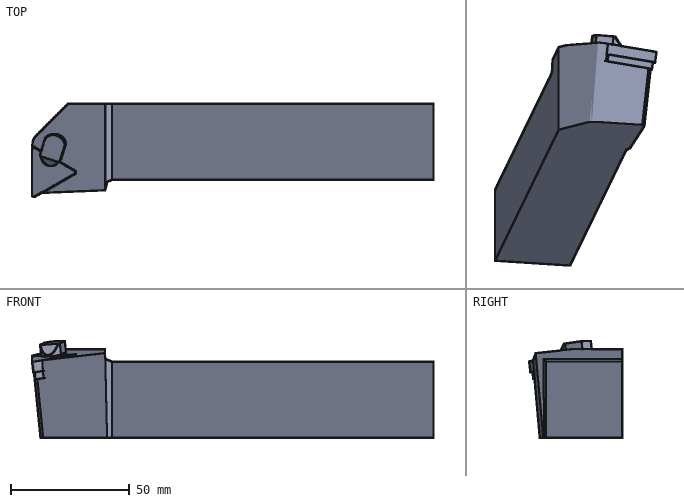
import cadquery as cq
import math

total_length = 170.0
shank_side = 32.3
shank_start = 33.8

flare_length = 2.9
flare_growth = 1.2

head_height = 37.5
back_chamfer = 15.3
lean = 0.1
left_base = 3.5
front_lean = 0.09
front_base = 35.0
front_skew = 1.5
rear_base = 31.8
rear_shift = 0.8
nose_chamfer = 1.2
back_corner_radius = 5.5

rake_break = 9.7
rake_slope = 0.11

insert_side = 22.1
insert_middle = -29.0
insert_thickness = 4.6
insert_nose_radius = 0.8
shim_thickness = 3.0
shim_inset = 0.5
pocket_clearance = 0.2

clamp_width = 8.8
clamp_height = 4.8
clamp_centre = (9.5, -17.8)
clamp_angle = 18.0
clamp_back = 5.1
clamp_shoulder = 2.5
clamp_side_end = 4.8
clamp_nose_start = 7.1
clamp_tip = 8.8
clamp_nose_width = 6.1
clamp_bevel_start = 5.5
clamp_tip_height = 0.7

rake_plane = cq.Plane(
    origin=(0, 0, head_height - rake_slope * rake_break),
    xDir=(1, 0, rake_slope),
    normal=(-rake_slope, -rake_slope, 1),
)


def on_rake(x, y):
    """Point of the rake plane above plan position (x, y), in the plane's own coordinates."""
    height = head_height - rake_slope * (rake_break - x - y)
    local = rake_plane.toLocalCoords(cq.Vector(x, y, height))
    return (local.x, local.y)


def make_shank():
    length = total_length - shank_start
    bar = cq.Workplane("XY").box(length, shank_side, shank_side, centered=False)
    return bar.translate((shank_start, -shank_side, 0))


def make_flare():
    grown = shank_side + flare_growth
    return (
        cq.Workplane("YZ", origin=(shank_start, 0, 0))
        .polyline([(0, 0), (-shank_side, 0), (-shank_side, shank_side), (0, shank_side)]).close()
        .workplane(offset=-flare_length)
        .polyline([(0, 0), (-grown, 0), (-grown, grown), (0, grown)]).close()
        .loft(ruled=True)
    )


def head_section(height):
    """Plan outline of the head at the given height."""
    left = left_base - lean * height
    front = -front_base - front_lean * height
    rear = rear_base - rear_shift * height / head_height
    return [
        (rear, 0),
        (back_chamfer, 0),
        (left, left - back_chamfer),
        (left, front + nose_chamfer),
        (left + nose_chamfer, front),
        (rear, front + front_skew),
    ]


def make_head():
    head = (
        cq.Workplane("XY")
        .polyline(head_section(0)).close()
        .workplane(offset=head_height)
        .polyline(head_section(head_height)).close()
        .loft(ruled=True)
    )
    corner_x, corner_y = head_section(head_height / 2)[2]
    back_corner = cq.selectors.NearestToPointSelector((corner_x, corner_y, head_height / 2))
    head = head.edges(back_corner).fillet(back_corner_radius)
    above_rake = cq.Workplane(rake_plane).rect(4 * head_height, 4 * head_height).extrude(head_height)
    return head.cut(above_rake)


def triangle_prism(inset, depth):
    """Triangle hanging below the rake plane, its sides moved inwards by inset."""
    reach = inset * math.sqrt(3)
    half = insert_side / 2 - reach
    apex = insert_side * math.sqrt(3) / 2 - 2 * inset
    outline = [
        on_rake(inset, insert_middle + half),
        on_rake(inset, insert_middle - half),
        on_rake(apex, insert_middle),
    ]
    prism = cq.Workplane(rake_plane).polyline(outline).close().extrude(-depth)
    return prism.edges(cq.selectors.ParallelDirSelector(rake_plane.zDir)).fillet(insert_nose_radius)


def make_clamp():
    centre = rake_plane.toWorldCoords(on_rake(*clamp_centre))
    plane = cq.Plane(origin=centre, xDir=rake_plane.xDir, normal=rake_plane.zDir)
    plane = plane.rotated((0, 0, -clamp_angle))
    half = clamp_width / 2
    nose = clamp_nose_width / 2
    finger = (
        cq.Workplane(plane)
        .moveTo(-half, clamp_shoulder)
        .threePointArc((0, clamp_back), (half, clamp_shoulder))
        .lineTo(half, -clamp_side_end)
        .lineTo(nose, -clamp_nose_start)
        .threePointArc((0, -clamp_tip), (-nose, -clamp_nose_start))
        .lineTo(-half, -clamp_side_end)
        .close()
        .extrude(clamp_height)
    )
    side_plane = cq.Plane(origin=centre, xDir=-plane.yDir, normal=-plane.xDir)
    bevel = (
        cq.Workplane(side_plane)
        .polyline([
            (clamp_bevel_start, clamp_height),
            (clamp_tip, clamp_tip_height),
            (clamp_tip, clamp_height),
        ])
        .close()
        .extrude(half, both=True)
    )
    return finger.cut(bevel)


shim_pocket_depth = insert_thickness + shim_thickness
insert = triangle_prism(0, insert_thickness)
shim = triangle_prism(shim_inset, shim_pocket_depth).cut(triangle_prism(-pocket_clearance, insert_thickness))
pocket = triangle_prism(-pocket_clearance, shim_pocket_depth)

holder = make_head().union(make_flare()).union(make_shank())
holder = holder.cut(pocket).union(shim).union(make_clamp())

result = cq.Compound.makeCompound([holder.val(), insert.val()])